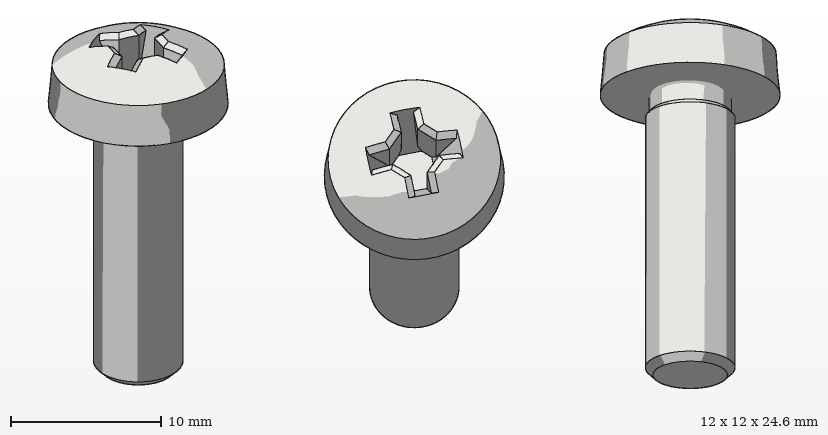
import cadquery as cq
import math

shank_radius = 3.0
tip_chamfer_height = 0.52
tip_chamfer_width = 0.52

neck_radius = 2.75
shank_shoulder_z = 18.4
neck_start_z = 18.7
neck_fillet = 0.3

head_bottom_z = 20.05
head_base_diameter = 12.0
rim_z = 23.0
rim_radius = 5.75
dome_apex_z = 24.75

slot_width = 1.1
corner_diagonal = 2.14
wing_reach = 3.15
wing_reach_z = 24.27
floor_z = 20.83
floor_half_width = 1.35
bevel_depth = 0.35
bevel_width = 0.47


def dome_height(radius):
    """Height of the spherical dome at a distance from the axis."""
    rise = dome_apex_z - rim_z
    sphere_radius = (rim_radius**2 + rise**2) / (2 * rise)
    return dome_apex_z - sphere_radius + math.sqrt(sphere_radius**2 - radius**2)


def make_screw_blank():
    """Revolve the shank, neck and domed head as one profile."""
    mid_radius = rim_radius / 2
    profile = (
        cq.Workplane("XZ")
        .lineTo(shank_radius - tip_chamfer_width, 0)
        .lineTo(shank_radius, tip_chamfer_height)
        .lineTo(shank_radius, shank_shoulder_z)
        .lineTo(neck_radius, neck_start_z)
        .lineTo(neck_radius, head_bottom_z - neck_fillet)
        .radiusArc((neck_radius + neck_fillet, head_bottom_z), neck_fillet)
        .lineTo(head_base_diameter / 2, head_bottom_z)
        .lineTo(rim_radius, rim_z)
        .threePointArc((mid_radius, dome_height(mid_radius)), (0, dome_apex_z))
        .close()
    )
    return profile.revolve(360, (0, 0, 0), (0, 1, 0))


def make_recess():
    """Straight-walled cross whose wing ends slope in toward a flat floor."""
    height = dome_apex_z - floor_z
    end_slope = (wing_reach - floor_half_width) / (wing_reach_z - floor_z)
    end_angle = math.degrees(math.atan(end_slope))
    wing_length = 2 * (floor_half_width + end_slope * height)
    floor_plane = cq.Workplane("XY").workplane(offset=floor_z)
    cross = (
        floor_plane.rect(wing_length, slot_width).extrude(height)
        .union(floor_plane.rect(slot_width, wing_length).extrude(height))
        .union(floor_plane.polygon(4, 2 * corner_diagonal).extrude(height))
    )
    taper = (
        floor_plane.rect(2 * floor_half_width, 2 * floor_half_width)
        .extrude(height, taper=-end_angle)
    )
    return cross.intersect(taper)


def bevel_recess_mouth(body):
    """Bevel the wing sides and corner flats where they meet the dome."""
    mouth_edges = []
    for edge in body.faces("%SPHERE").edges().vals():
        middle = edge.positionAt(0.5)
        in_recess = 0 < math.hypot(middle.x, middle.y) < wing_reach
        on_wing_end = min(abs(middle.x), abs(middle.y)) < slot_width / 4
        if in_recess and not on_wing_end:
            mouth_edges.append(edge)
    return body.newObject(mouth_edges).chamfer(bevel_width, bevel_depth)


result = bevel_recess_mouth(make_screw_blank().cut(make_recess()))